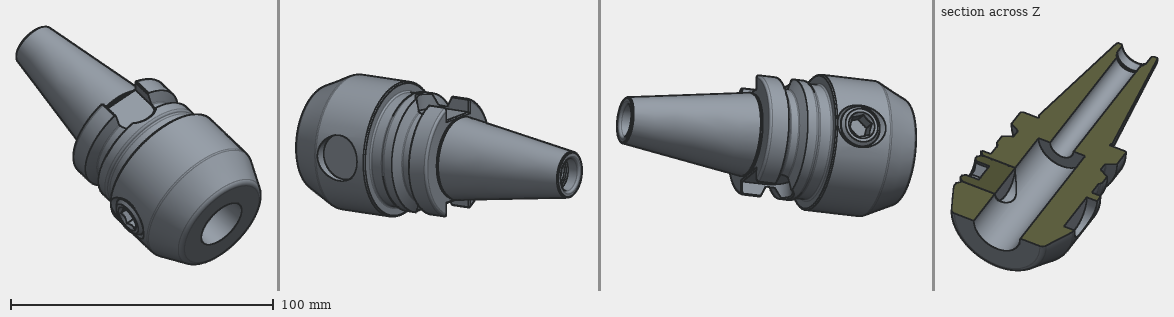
import cadquery as cq
import math

total_length = 111.6
taper_end_x = 49.3
flange_start_x = 50.4
body_start_x = 76.3
cone_start_x = 98.7

taper_tip_radius = 8.9
taper_end_radius = 16.1
tip_chamfer = 0.5
relief_radius = 15.6
relief_slope_length = 0.5

flange_radius = 23.0
flange_edge_fillet = 1.0
groove_start_x = 58.3
groove_floor_start_x = 60.5
groove_floor_end_x = 63.8
groove_end_x = 66.0
groove_floor_radius = 19.0
groove_floor_fillet = 0.5
flange_round_start_x = 69.6
flange_round_radius = 1.2

neck_radius = 22.0
neck_flange_fillet = 0.9
neck_body_fillet = 0.7

body_radius = 26.0
body_chamfer = 0.6
nose_angle = 25.0
nose_edge_fillet = 2.2
shoulder_fillet = 1.7

pilot_radius = 6.2
pilot_depth = 4.9
pilot_entry_fillet = 1.0
step_radius = 5.7
step_length = 0.9
through_radius = 5.0
tool_bore_radius = 10.0
tool_bore_depth = 51.3

slot_width = 16.0
slot_floor_z = 16.3
slot_end_x = 67.9
slot_chamfer = 0.6

screw_x = 86.7
screw_radius = 7.9
screw_chamfer = 1.3
screw_length = body_radius - tool_bore_radius
countersink_radius = 9.8
socket_width = 8.0
socket_depth = 6.7
socket_turn = 17.0
socket_entry_radius = 5.2
balance_x = 88.6
balance_radius = 8.9
balance_depth = 4.5

selector_margin = 0.1


def edge_at(x, radius):
    """Selector for the circular edge around the X axis at this place and radius."""
    reach = radius + selector_margin
    return cq.selectors.BoxSelector(
        (x - selector_margin, -reach, -reach), (x + selector_margin, reach, reach), boundingbox=True
    )


def holder_blank():
    """Solid of revolution of the whole holder, before any groove, hole or slot is cut."""
    nose_end_radius = body_radius - (total_length - cone_start_x) * math.tan(math.radians(nose_angle))

    arc_sum = flange_round_radius + neck_flange_fillet
    drop = flange_radius - neck_radius
    turn = math.acos(1 - drop / arc_sum)
    inflection = (
        flange_round_start_x + flange_round_radius * math.sin(turn),
        flange_radius - flange_round_radius * (1 - math.cos(turn)),
    )
    neck_start_x = flange_round_start_x + arc_sum * math.sin(turn)

    profile = (
        cq.Workplane("XY")
        .moveTo(0, 0)
        .lineTo(0, taper_tip_radius - tip_chamfer)
        .lineTo(tip_chamfer, taper_tip_radius)
        .lineTo(taper_end_x, taper_end_radius)
        .lineTo(taper_end_x + relief_slope_length, relief_radius)
        .lineTo(flange_start_x, relief_radius)
        .lineTo(flange_start_x, flange_radius - flange_edge_fillet)
        .tangentArcPoint((flange_edge_fillet, flange_edge_fillet))
        .lineTo(flange_round_start_x, flange_radius)
        .tangentArcPoint(inflection, relative=False)
        .tangentArcPoint((neck_start_x, neck_radius), relative=False)
        .lineTo(body_start_x - neck_body_fillet, neck_radius)
        .tangentArcPoint((neck_body_fillet, neck_body_fillet))
        .lineTo(body_start_x, body_radius - body_chamfer)
        .lineTo(body_start_x + body_chamfer, body_radius)
        .lineTo(cone_start_x, body_radius)
        .lineTo(total_length, nose_end_radius)
        .lineTo(total_length, 0)
        .close()
    )
    blank = profile.revolve(360, (0, 0, 0), (1, 0, 0))
    blank = blank.edges(edge_at(cone_start_x, body_radius)).fillet(shoulder_fillet)
    return blank.faces(">X").edges("%CIRCLE").fillet(nose_edge_fillet)


def v_groove():
    """Ring cutter for the V groove around the flange, with rounded floor corners."""
    groove = (
        cq.Workplane("XY")
        .moveTo(groove_start_x, flange_radius)
        .lineTo(groove_floor_start_x, groove_floor_radius)
        .lineTo(groove_floor_end_x, groove_floor_radius)
        .lineTo(groove_end_x, flange_radius)
        .close()
        .revolve(360, (0, 0, 0), (1, 0, 0))
    )
    for corner_x in (groove_floor_start_x, groove_floor_end_x):
        groove = groove.edges(edge_at(corner_x, groove_floor_radius)).fillet(groove_floor_fillet)
    return groove


def axial_bores():
    """Pilot hole at the taper tip, through hole and tool bore, as one cutter."""
    step_start_x = pilot_depth + pilot_radius - step_radius
    step_end_x = step_start_x + step_length
    through_start_x = step_end_x + step_radius - through_radius
    return (
        cq.Workplane("XY")
        .moveTo(0, 0)
        .lineTo(0, pilot_radius + pilot_entry_fillet)
        .radiusArc((pilot_entry_fillet, pilot_radius), -pilot_entry_fillet)
        .lineTo(pilot_depth, pilot_radius)
        .lineTo(step_start_x, step_radius)
        .lineTo(step_end_x, step_radius)
        .lineTo(through_start_x, through_radius)
        .lineTo(total_length - tool_bore_depth, through_radius)
        .lineTo(total_length - tool_bore_depth, tool_bore_radius)
        .lineTo(total_length, tool_bore_radius)
        .lineTo(total_length, 0)
        .close()
        .revolve(360, (0, 0, 0), (1, 0, 0))
    )


def cut_drive_slots(holder):
    """Cut a round-ended slot into the +Z side and the -Z side of the flange."""
    half_width = slot_width / 2
    slot = (
        cq.Workplane("XY", origin=(0, 0, slot_floor_z))
        .moveTo(flange_start_x, -half_width)
        .lineTo(slot_end_x - half_width, -half_width)
        .tangentArcPoint((slot_end_x, 0), relative=False)
        .tangentArcPoint((slot_end_x - half_width, half_width), relative=False)
        .lineTo(flange_start_x, half_width)
        .close()
        .extrude(flange_radius)
    )
    holder = holder.cut(slot).cut(slot.rotate((0, 0, 0), (1, 0, 0), 180))

    reach = half_width + selector_margin
    for bottom, top in ((slot_floor_z, flange_radius), (-flange_radius, -slot_floor_z)):
        mouth = cq.selectors.BoxSelector(
            (flange_start_x - selector_margin, -reach, bottom - selector_margin),
            (flange_start_x + selector_margin, reach, top + selector_margin),
            boundingbox=True,
        )
        holder = holder.edges(mouth).chamfer(slot_chamfer)
    return holder


def screw_hole():
    """Countersunk hole from the -Y side into the tool bore."""
    countersink_depth = countersink_radius - screw_radius
    return (
        cq.Workplane("XY", origin=(screw_x, 0, 0))
        .moveTo(0, 0)
        .lineTo(screw_radius, 0)
        .lineTo(screw_radius, countersink_depth - body_radius)
        .lineTo(countersink_radius, -body_radius)
        .lineTo(0, -body_radius)
        .close()
        .revolve(360, (0, 0, 0), (0, 1, 0))
    )


def balance_hole():
    """Shallow blind hole in the +Y side of the body."""
    return (
        cq.Workplane("XZ", origin=(balance_x, body_radius, 0))
        .circle(balance_radius)
        .extrude(balance_depth)
    )


def make_holder():
    holder = holder_blank()
    holder = cut_drive_slots(holder)
    holder = holder.cut(v_groove()).cut(axial_bores())
    return holder.cut(screw_hole()).cut(balance_hole())


def make_clamping_screw():
    """Set screw along Y, flush with the body, with a hexagon socket in its outer end."""
    outer_end = cq.Workplane("XZ", origin=(screw_x, -body_radius, 0))
    screw = outer_end.circle(screw_radius).extrude(-screw_length)
    screw = screw.faces("<Y").edges().chamfer(screw_chamfer)

    corner_radius = socket_width / math.sqrt(3)
    socket = (
        outer_end.transformed(rotate=(0, 0, socket_turn))
        .polygon(6, 2 * corner_radius)
        .extrude(-socket_depth)
    )
    flat_radius = socket_width / 2
    socket_entry = (
        outer_end.circle(socket_entry_radius)
        .workplane(offset=flat_radius - socket_entry_radius)
        .circle(flat_radius)
        .loft()
    )
    return screw.cut(socket).cut(socket_entry)


holder = make_holder()
clamping_screw = make_clamping_screw()
result = cq.Compound.makeCompound([holder.val(), clamping_screw.val()])